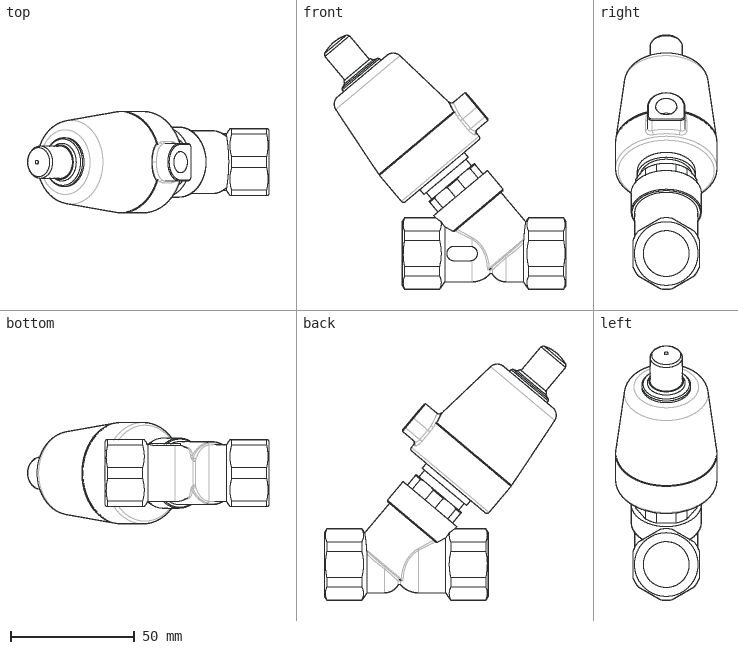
import cadquery as cq
import math

ACTUATOR_TILT = 40.0

PIPE_RADIUS = 11.5
INLET_FACE_X = -44.0
OUTLET_FACE_X = 22.1
INLET_DOME_X = -15.9
OUTLET_DOME_X = -2.1
INLET_DOME_ROUND = 9.9
OUTLET_DOME_ROUND = 6.5
END_HEX_FLATS = 27.0
END_HEX_RADIUS = 14.5
END_HEX_LENGTH = 15.1
END_FACE_RADIUS = 12.8
END_CHAMFER = 0.9
END_TAPER = 2.1
BORE_DIAMETER = 18.5
BORE_DEPTH = 15.4

PAD_LENGTH = 12.3
PAD_HEIGHT = 5.9
PAD_CENTER_X = -19.8
PAD_FACE_OFFSET = 11.9

NECK_RADIUS = 12.7
NECK_BOTTOM = 0.7
COLLAR_RADIUS = 14.2
COLLAR_BOTTOM = 21.6
COLLAR_TOP = 31.8
COLLAR_CHAMFER = 0.4
NECK_EDGE_FILLET = 0.5
INLET_BLEND = 0.6
OUTLET_BLEND = 0.8

INLET_SEAM_LOW = (-22.4, -11.2, -6.3)
INLET_SEAM_HIGH = (-9.1, 11.2, 9.6)
OUTLET_SEAM_LOW = (-8.2, -11.6, -6.1)
OUTLET_SEAM_HIGH = (5.0, 11.6, 5.2)

BONNET_HEX_FLATS = 23.8
BONNET_HEX_RADIUS = 12.5
BONNET_HEX_TOP = 37.4
BONNET_HEX_CHAMFER = 0.4
BONNET_NECK_RADIUS = 10.5
BONNET_TOP = 40.9

HOUSING_DIAMETER = 41.0
HOUSING_RADIUS = HOUSING_DIAMETER / 2
HOUSING_BOTTOM = 43.5
HOUSING_EDGE_FILLET = 1.1
HOUSING_HUB_RADIUS = 11.7
SEAM_HEIGHT = 58.4

PORT_HEIGHT = 54.1
PORT_RADIUS = 7.6
PORT_SQUARE_END = 47.2
PORT_CORNER_FILLET = 2.0
PORT_FACE = 27.7
PORT_ROOT = 17.5
PORT_FLARE = 1.2
PORT_SEAT_BOTTOM = 44.7
PORT_SEAT_BEND = 56.5
PORT_SEAT_TOP = 66.8
PORT_EDGE_CHAMFER = 0.4
PORT_HOLE_DIAMETER = 8.5
PORT_HOLE_DEPTH = 9.2

CAP_TOP = 93.5
CAP_TOP_RADIUS = 16.5
CAP_FILLET = 3.9
SEAM_CHAMFER = 0.4

RING_RADIUS = 9.9
RING_RIM_HEIGHT = 94.4
RING_SHOULDER_RADIUS = 9.3
RING_SHOULDER_HEIGHT = 95.0
RING_COLLAR_RADIUS = 7.6
RING_COLLAR_HEIGHT = 95.6
RING_TOP_RADIUS = 7.0
RING_TOP = 96.8

STEM_DIAMETER = 13.0
STEM_RADIUS = STEM_DIAMETER / 2
STEM_DOME_TOP = 111.4
STEM_DOME_EDGE_RADIUS = 5.9
STEM_DOME_EDGE_HEIGHT = 110.2
STEM_SHOULDER_HEIGHT = 109.2
STEM_HOLE_DIAMETER = 1.5
STEM_HOLE_DEPTH = 2.1

SLACK = 0.1


def revolved(profile):
    """Turn an XZ profile about the Z axis."""
    return profile.close().revolve(360, (0, 0, 0), (0, 1, 0))


def cylinder(radius, bottom, top):
    return cq.Workplane("XY").workplane(offset=bottom).circle(radius).extrude(top - bottom)


def hexagon(flats, bottom, top):
    """Hexagonal prism with two corners on the X axis."""
    across_corners = flats / math.cos(math.radians(30))
    return cq.Workplane("XY").workplane(offset=bottom).polygon(6, across_corners).extrude(top - bottom)


def fillet_within(body, low, high, radius):
    """Fillet the edges lying wholly inside the box between two corners."""
    return body.edges(cq.selectors.BoxSelector(low, high, boundingbox=True)).fillet(radius)


def tilted(body):
    """Lean an upright body onto the actuator axis."""
    return body.rotate((0, 0, 0), (0, 1, 0), -ACTUATOR_TILT)


def pipe_end(face_x, dome_x, dome_round):
    """Half of the flow pipe: hex fitting, taper, straight pipe and rounded inner end."""
    round_center = PIPE_RADIUS - dome_round
    arc_reach = dome_round * math.sqrt(0.5)
    length = abs(face_x - dome_x)
    outward = math.copysign(1, face_x - dome_x)
    hex_bottom = length - END_HEX_LENGTH
    envelope = revolved(
        cq.Workplane("XZ")
        .moveTo(0, -dome_round)
        .lineTo(round_center, -dome_round)
        .threePointArc((round_center + arc_reach, -arc_reach), (PIPE_RADIUS, 0))
        .lineTo(PIPE_RADIUS, hex_bottom - END_TAPER)
        .lineTo(END_HEX_RADIUS, hex_bottom)
        .lineTo(END_HEX_RADIUS, length - END_CHAMFER)
        .lineTo(END_FACE_RADIUS, length)
        .lineTo(0, length)
    )
    fitting = envelope.intersect(hexagon(END_HEX_FLATS, -dome_round, length))
    return fitting.rotate((0, 0, 0), (0, 1, 0), 90 * outward).translate((dome_x, 0, 0))


def end_bore(face_x):
    inward = -math.copysign(1, face_x)
    bore = cq.Workplane("YZ").circle(BORE_DIAMETER / 2).extrude(inward * BORE_DEPTH)
    return bore.translate((face_x, 0, 0))


def flow_pad():
    pad = cq.Workplane("XZ").center(PAD_CENTER_X, 0).slot2D(PAD_LENGTH, PAD_HEIGHT)
    return pad.extrude(PAD_FACE_OFFSET)


def make_valve_body():
    neck = cylinder(NECK_RADIUS, NECK_BOTTOM, COLLAR_TOP).faces("<Z").edges().fillet(NECK_EDGE_FILLET)
    collar = cylinder(COLLAR_RADIUS, COLLAR_BOTTOM, COLLAR_TOP).faces("<Z").chamfer(COLLAR_CHAMFER)
    body = tilted(neck.union(collar))
    body = body.union(pipe_end(INLET_FACE_X, INLET_DOME_X, INLET_DOME_ROUND))
    body = body.union(pipe_end(OUTLET_FACE_X, OUTLET_DOME_X, OUTLET_DOME_ROUND))
    body = fillet_within(body, OUTLET_SEAM_LOW, OUTLET_SEAM_HIGH, OUTLET_BLEND)
    body = fillet_within(body, INLET_SEAM_LOW, INLET_SEAM_HIGH, INLET_BLEND)
    body = body.union(flow_pad())
    return body.cut(end_bore(INLET_FACE_X)).cut(end_bore(OUTLET_FACE_X))


def make_bonnet():
    envelope = cylinder(BONNET_HEX_RADIUS, COLLAR_TOP, BONNET_HEX_TOP)
    envelope = envelope.faces(">Z").chamfer(BONNET_HEX_CHAMFER)
    hex_nut = hexagon(BONNET_HEX_FLATS, COLLAR_TOP, BONNET_HEX_TOP)
    hex_nut = hex_nut.rotate((0, 0, 0), (0, 0, 1), 30).intersect(envelope)
    return tilted(hex_nut.union(cylinder(BONNET_NECK_RADIUS, COLLAR_TOP, BONNET_TOP)))


def port_outline(margin):
    """D-shaped prism along +X: round toward the cap, square toward the bonnet."""
    radius = PORT_RADIUS + margin
    square_end = PORT_SQUARE_END - PORT_HEIGHT - margin
    return (
        cq.Workplane("YZ", origin=(PORT_ROOT, 0, PORT_HEIGHT))
        .moveTo(-radius, square_end)
        .lineTo(radius, square_end)
        .lineTo(radius, 0)
        .threePointArc((0, radius), (-radius, 0))
        .close()
        .extrude(PORT_FACE - PORT_ROOT)
        .edges("|X and <Z")
        .fillet(PORT_CORNER_FILLET + margin)
    )


def housing_drum():
    drum = cylinder(HOUSING_RADIUS, HOUSING_BOTTOM, SEAM_HEIGHT)
    return drum.faces("<Z").edges().fillet(HOUSING_EDGE_FILLET)


def cap_dome():
    dome = revolved(
        cq.Workplane("XZ")
        .moveTo(0, SEAM_HEIGHT)
        .lineTo(HOUSING_RADIUS, SEAM_HEIGHT)
        .lineTo(CAP_TOP_RADIUS, CAP_TOP)
        .lineTo(0, CAP_TOP)
    )
    return dome.faces(">Z").edges().fillet(CAP_FILLET)


def port_seat():
    """Solid whose side follows the drum and bends over to meet the cap's cone."""
    cone_slope = (HOUSING_RADIUS - CAP_TOP_RADIUS) / (CAP_TOP - SEAM_HEIGHT)
    top_radius = HOUSING_RADIUS - cone_slope * (PORT_SEAT_TOP - SEAM_HEIGHT)
    return revolved(
        cq.Workplane("XZ")
        .moveTo(0, PORT_SEAT_BOTTOM)
        .lineTo(HOUSING_RADIUS, PORT_SEAT_BOTTOM)
        .lineTo(HOUSING_RADIUS, PORT_SEAT_BEND)
        .tangentArcPoint((top_radius, PORT_SEAT_TOP), relative=False)
        .lineTo(0, PORT_SEAT_TOP)
    )


def make_port():
    """Port boss with a flared root that follows the drum and the cap."""
    boss = port_outline(0).faces(">X").chamfer(PORT_EDGE_CHAMFER)
    seated = port_seat().union(boss)
    root_low = (PORT_ROOT, -PORT_RADIUS - SLACK, PORT_SQUARE_END - SLACK)
    root_high = (HOUSING_RADIUS + SLACK, PORT_RADIUS + SLACK, PORT_HEIGHT + PORT_RADIUS + SLACK)
    flared = fillet_within(seated, root_low, root_high, PORT_FLARE)
    return flared.intersect(port_outline(PORT_FLARE))


def make_housing():
    hub = cylinder(HOUSING_HUB_RADIUS, BONNET_TOP, SEAM_HEIGHT)
    hole = (
        cq.Workplane("YZ", origin=(PORT_FACE, 0, PORT_HEIGHT))
        .circle(PORT_HOLE_DIAMETER / 2)
        .extrude(-PORT_HOLE_DEPTH)
    )
    return tilted(housing_drum().union(hub).union(make_port()).cut(hole))


def make_cap():
    dome = cap_dome().faces("<Z").edges().chamfer(SEAM_CHAMFER)
    return tilted(dome.cut(port_outline(PORT_FLARE)))


def make_ring():
    ring = revolved(
        cq.Workplane("XZ")
        .moveTo(STEM_RADIUS, CAP_TOP)
        .lineTo(RING_RADIUS, CAP_TOP)
        .lineTo(RING_RADIUS, RING_RIM_HEIGHT)
        .lineTo(RING_SHOULDER_RADIUS, RING_SHOULDER_HEIGHT)
        .lineTo(RING_COLLAR_RADIUS, RING_COLLAR_HEIGHT)
        .lineTo(RING_TOP_RADIUS, RING_TOP)
        .lineTo(STEM_RADIUS, RING_TOP)
    )
    return tilted(ring)


def make_stem():
    rise = STEM_DOME_TOP - STEM_DOME_EDGE_HEIGHT
    dome_radius = (STEM_DOME_EDGE_RADIUS**2 + rise**2) / (2 * rise)
    mid_radius = STEM_DOME_EDGE_RADIUS / 2
    mid_height = STEM_DOME_TOP - dome_radius + math.sqrt(dome_radius**2 - mid_radius**2)
    stem = revolved(
        cq.Workplane("XZ")
        .moveTo(0, CAP_TOP)
        .lineTo(STEM_RADIUS, CAP_TOP)
        .lineTo(STEM_RADIUS, STEM_SHOULDER_HEIGHT)
        .lineTo(STEM_DOME_EDGE_RADIUS, STEM_DOME_EDGE_HEIGHT)
        .threePointArc((mid_radius, mid_height), (0, STEM_DOME_TOP))
    )
    hole = cylinder(STEM_HOLE_DIAMETER / 2, STEM_DOME_TOP - STEM_HOLE_DEPTH, STEM_DOME_TOP)
    return tilted(stem.cut(hole))


valve_body = make_valve_body()
bonnet = make_bonnet()
housing = make_housing()
cap = make_cap()
ring = make_ring()
stem = make_stem()

result = cq.Compound.makeCompound(
    [valve_body.val(), bonnet.val(), housing.val(), cap.val(), ring.val(), stem.val()]
)